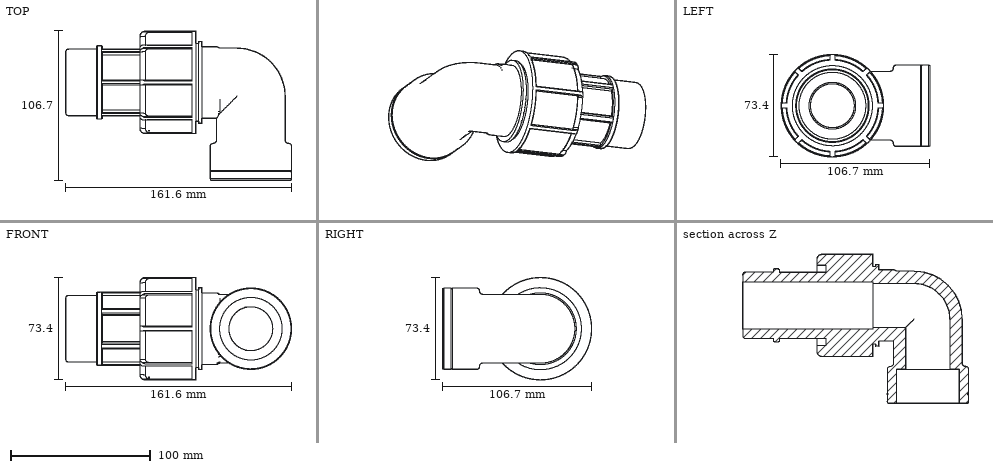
import cadquery as cq
import math


LENGTH = 161.6

ELBOW_R = 49.3 / 2
BORE_R = 31.4 / 2
BEND_R = 9.9

SOCKET_R = 58.4 / 2
SOCKET_RIM_R = 57.4 / 2
SOCKET_BORE_R = 44.8 / 2
SOCKET_LENGTH = 26.5
SOCKET_BORE_DEPTH = 24.2
SOCKET_RIM_LENGTH = 1.1
GROOVE_WIDTH = 0.8
GROOVE_TO_RIM = 6.1
SOCKET_AXIS_X = LENGTH - SOCKET_R
SOCKET_END_Y = -70.0
SHOULDER_Y = SOCKET_END_Y + SOCKET_LENGTH
BEND_START_X = SOCKET_AXIS_X - BEND_R

PIPE_R = 47.8 / 2
PIPE_BORE_R = 33.5 / 2
PIPE_END_FILLET = 2.1
COLLAR_R = 52.5 / 2
COLLAR_START = 22.0
COLLAR_END = 26.5
COLLAR_EDGE_DROP = 0.57
COLLAR_FRONT_BEVEL = 0.6
COLLAR_BACK_BEVEL = 1.0
PIPE_RIB_WIDTH = 3.7
PIPE_RIB_BEVEL = 1.0
SIDE_RIB_WIDTH = 4.8
SIDE_RIB_ANGLE = 60

NUT_R = 73.4 / 2
NUT_START = 53.0
NUT_END = 93.1
NUT_FACE_R = 32.7
NUT_STEP_R = 33.1
NUT_PANEL_R = 35.9
NUT_STEP_X = NUT_START + 4.0
NUT_FLANGE_X = NUT_END - 2.7
NUT_BORE_R = 57.4 / 2
NUT_BORE_DEPTH = 6.5
NUT_RIB_COUNT = 8
NUT_RIB_WIDTH = 3.5
NUT_RIB_BEVEL = 0.6

NECK_R = 55.8 / 2
RING_R = 58.7 / 2
RING_START = 95.0
RING_END = 97.5
BODY_R = 51.4 / 2
BODY_END = 110.2
BODY_ROUND_LENGTH = 1.6
BODY_CURVE_LENGTH = 2.6


def revolve_x(outline):
    """Revolve a closed outline, drawn as (x, radius), about the pipe axis."""
    return outline.close().revolve(360, (0, 0), (1, 0))


def cylinder_x(radius, start, end):
    return cq.Workplane("YZ", origin=(start, 0, 0)).circle(radius).extrude(end - start)


def cylinder_y(radius, start, end):
    plane = cq.Workplane("XZ", origin=(SOCKET_AXIS_X, start, 0))
    return plane.circle(radius).extrude(start - end)


def rib_x(width, bevel, drop, outer_r, start, end, offset=0):
    """Bevelled rib along X on the +Z side, shifted sideways along Y by the offset."""
    half = width / 2
    section = [
        (offset - half, 0),
        (offset - half, outer_r - drop),
        (offset - half + bevel, outer_r),
        (offset + half - bevel, outer_r),
        (offset + half, outer_r - drop),
        (offset + half, 0),
    ]
    return cq.Workplane("YZ", origin=(start, 0, 0)).polyline(section).close().extrude(end - start)


def turn_x(solid, angle):
    return solid.rotate((0, 0, 0), (1, 0, 0), angle)


def pipe_ribs():
    """Ribs at top and bottom, plus wider ones mirrored to all four quarters."""
    start = COLLAR_END - COLLAR_BACK_BEVEL
    shape = (PIPE_RIB_BEVEL, COLLAR_EDGE_DROP, COLLAR_R, start, NUT_END)
    top = rib_x(PIPE_RIB_WIDTH, *shape)
    widening = SIDE_RIB_WIDTH - PIPE_RIB_WIDTH
    side = turn_x(rib_x(SIDE_RIB_WIDTH, *shape, offset=-widening / 2), SIDE_RIB_ANGLE)
    upper = top.union(side).union(side.mirror("XZ"))
    return upper.union(upper.mirror("XY"))


def nut_ribs():
    rib = rib_x(NUT_RIB_WIDTH, NUT_RIB_BEVEL, NUT_RIB_BEVEL, NUT_R, NUT_START, NUT_FLANGE_X)
    ribs = rib
    for i in range(1, NUT_RIB_COUNT):
        ribs = ribs.union(turn_x(rib, i * 360 / NUT_RIB_COUNT))
    return ribs


def bend(radius):
    """Outer part of the bend: the tube section beyond the bend axis, turned 90 degrees."""
    half_height = math.sqrt(radius**2 - BEND_R**2)
    section = (
        cq.Workplane("YZ", origin=(BEND_START_X, 0, 0))
        .moveTo(-BEND_R, -half_height)
        .threePointArc((radius, 0), (-BEND_R, half_height))
        .close()
    )
    return section.revolve(90, (-BEND_R, 1.6), (-BEND_R, 0))


def elbow(radius, start_x, end_y):
    """Two mitred tubes joined by the bend."""
    run = cylinder_x(radius, start_x, BEND_START_X)
    drop = cylinder_y(radius, -BEND_R, end_y)
    return run.union(drop).union(bend(radius))


def pipe():
    tube = cylinder_x(PIPE_R, 0, NUT_END).faces("<X").edges().fillet(PIPE_END_FILLET)
    collar = revolve_x(
        cq.Workplane("XY")
        .moveTo(COLLAR_START, 0)
        .lineTo(COLLAR_START, COLLAR_R - COLLAR_EDGE_DROP)
        .lineTo(COLLAR_START + COLLAR_FRONT_BEVEL, COLLAR_R)
        .lineTo(COLLAR_END - COLLAR_BACK_BEVEL, COLLAR_R)
        .lineTo(COLLAR_END, COLLAR_R - COLLAR_EDGE_DROP)
        .lineTo(COLLAR_END, 0)
    )
    return tube.union(collar).union(pipe_ribs())


def nut():
    shoulder = NUT_PANEL_R - NUT_STEP_R
    arc_mid = shoulder * (1 - math.sqrt(0.5))
    core = revolve_x(
        cq.Workplane("XY")
        .moveTo(NUT_START, 0)
        .lineTo(NUT_START, NUT_FACE_R)
        .lineTo(NUT_STEP_X, NUT_STEP_R)
        .threePointArc(
            (NUT_STEP_X + arc_mid, NUT_PANEL_R - arc_mid),
            (NUT_STEP_X + shoulder, NUT_PANEL_R),
        )
        .lineTo(NUT_FLANGE_X, NUT_PANEL_R)
        .lineTo(NUT_FLANGE_X, NUT_R)
        .lineTo(NUT_END, NUT_R)
        .lineTo(NUT_END, 0)
    )
    envelope = cylinder_x(NUT_R, NUT_START, NUT_END).faces("<X").edges().fillet(NUT_R - NUT_FACE_R)
    bore = cylinder_x(NUT_BORE_R, NUT_START, NUT_START + NUT_BORE_DEPTH)
    return core.union(nut_ribs().intersect(envelope)).cut(bore)


def body():
    neck = cylinder_x(NECK_R, NUT_END, RING_START)
    ring = cylinder_x(RING_R, RING_START, RING_END)
    round_share = BODY_ROUND_LENGTH / BODY_CURVE_LENGTH
    round_start = BODY_END - BODY_CURVE_LENGTH
    round_end_r = BODY_R - round_share * (BODY_R - ELBOW_R)
    sleeve = revolve_x(
        cq.Workplane("XY")
        .moveTo(RING_END, 0)
        .lineTo(RING_END, BODY_R)
        .lineTo(round_start, BODY_R)
        .tangentArcPoint((round_start + BODY_ROUND_LENGTH, round_end_r), relative=False)
        .tangentArcPoint((BODY_END, ELBOW_R), relative=False)
        .lineTo(BODY_END, 0)
    )
    return neck.union(ring).union(sleeve)


def socket():
    """Socket with an S-shaped shoulder, an outer groove and a tapered rim."""
    round_r = (SOCKET_R - ELBOW_R) / 2
    mid_r = ELBOW_R + round_r
    diagonal = round_r * math.sqrt(0.5)
    profile = (
        cq.Workplane("XY")
        .moveTo(SOCKET_AXIS_X, SHOULDER_Y + round_r)
        .line(ELBOW_R, 0)
        .threePointArc(
            (SOCKET_AXIS_X + mid_r - diagonal, SHOULDER_Y + round_r - diagonal),
            (SOCKET_AXIS_X + mid_r, SHOULDER_Y),
        )
        .threePointArc(
            (SOCKET_AXIS_X + mid_r + diagonal, SHOULDER_Y - round_r + diagonal),
            (SOCKET_AXIS_X + SOCKET_R, SHOULDER_Y - round_r),
        )
        .lineTo(SOCKET_AXIS_X + SOCKET_R, SOCKET_END_Y + SOCKET_RIM_LENGTH)
        .lineTo(SOCKET_AXIS_X + SOCKET_RIM_R, SOCKET_END_Y)
        .lineTo(SOCKET_AXIS_X, SOCKET_END_Y)
        .close()
    )
    solid = profile.revolve(360, (SOCKET_AXIS_X, 0), (SOCKET_AXIS_X, 1))
    groove_y = SOCKET_END_Y + GROOVE_TO_RIM
    groove = cylinder_y(SOCKET_R, groove_y + GROOVE_WIDTH, groove_y).cut(
        cylinder_y(SOCKET_RIM_R, groove_y + GROOVE_WIDTH, groove_y)
    )
    return solid.cut(groove)


def bores():
    pipe_bore = cylinder_x(PIPE_BORE_R, 0, NUT_END)
    seat_y = SOCKET_END_Y + SOCKET_BORE_DEPTH
    socket_bore = cylinder_y(SOCKET_BORE_R, seat_y, SOCKET_END_Y)
    return elbow(BORE_R, NUT_END, seat_y).union(pipe_bore).union(socket_bore)


outside = pipe().union(nut()).union(body()).union(socket())
outside = outside.union(elbow(ELBOW_R, RING_END, SHOULDER_Y))
result = outside.cut(bores())